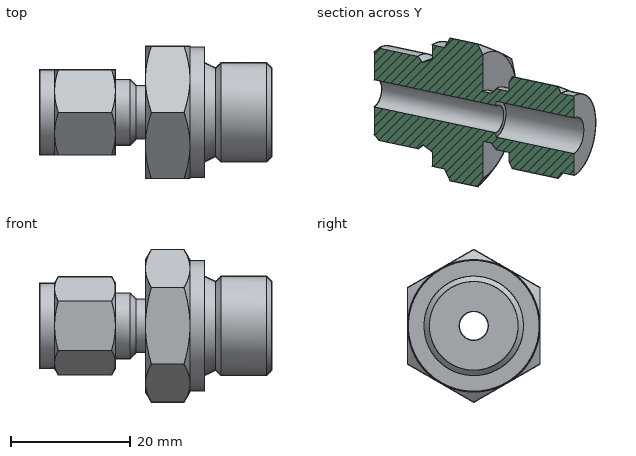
import cadquery as cq
import math


nut_across_flats = 14.3
nut_nose_length = 2.5
nut_hex_length = 10.2

collar_diameter = 11.05
collar_length = 2.45
neck_diameter = 9.0
neck_cone_length = (collar_diameter - neck_diameter) / 2
neck_length = 1.55

body_across_flats = 22.2
body_hex_length = 7.45
flange_diameter = 21.9
flange_length = 2.45

thread_diameter = 16.66
thread_chamfer = 0.9
relief_cone_length = 1.85
relief_diameter = thread_diameter - 2 * thread_chamfer
overall_length = 38.9

tube_diameter = 6.35
bore_diameter = 4.8

hex_sides = 6
hex_chamfer_angle = 30.0

nut_hex_start = nut_nose_length
nut_hex_end = nut_hex_start + nut_hex_length
collar_end = nut_hex_end + collar_length
neck_start = collar_end + neck_cone_length
body_hex_start = neck_start + neck_length
body_hex_end = body_hex_start + body_hex_length
flange_end = body_hex_end + flange_length
relief_end = flange_end + relief_cone_length
thread_start = relief_end + thread_chamfer
thread_end_chamfer_start = overall_length - thread_chamfer


def revolve_about_x(points):
    """Revolve a closed (x, radius) outline about the X axis."""
    return cq.Workplane("XY").polyline(points).close().revolve(360, (0, 0, 0), (1, 0, 0))


def cylinder(start, end, diameter):
    """Cylinder along X between two stations."""
    return cq.Workplane("YZ").workplane(offset=start).circle(diameter / 2).extrude(end - start)


def chamfered_hexagon(start, end, across_flats):
    """Hexagon along X, flats facing +/-Y, with conical chamfers on both ends."""
    flat_radius = across_flats / 2
    half_side_angle = math.pi / hex_sides
    corner_radius = flat_radius / math.cos(half_side_angle)
    corners = []
    for i in range(hex_sides):
        angle = half_side_angle * (2 * i + 1)
        corners.append((corner_radius * math.cos(angle), corner_radius * math.sin(angle)))
    prism = cq.Workplane("YZ").workplane(offset=start).polyline(corners).close().extrude(end - start)

    half_length = (end - start) / 2
    middle = start + half_length
    cone_radius = flat_radius + half_length / math.tan(math.radians(hex_chamfer_angle))
    double_cone = revolve_about_x(
        [(start, 0), (start, flat_radius), (middle, cone_radius), (end, flat_radius), (end, 0)]
    )
    return prism.intersect(double_cone)


def tube_nut():
    nose = cylinder(0, nut_hex_start, nut_across_flats)
    return nose.union(chamfered_hexagon(nut_hex_start, nut_hex_end, nut_across_flats))


def body_neck():
    return revolve_about_x(
        [
            (nut_hex_end, 0),
            (nut_hex_end, collar_diameter / 2),
            (collar_end, collar_diameter / 2),
            (neck_start, neck_diameter / 2),
            (body_hex_start, neck_diameter / 2),
            (body_hex_start, 0),
        ]
    )


def threaded_end():
    """Sealing flange, conical thread relief and chamfered thread blank."""
    return revolve_about_x(
        [
            (body_hex_end, 0),
            (body_hex_end, flange_diameter / 2),
            (flange_end, flange_diameter / 2),
            (flange_end, thread_diameter / 2),
            (relief_end, relief_diameter / 2),
            (thread_start, thread_diameter / 2),
            (thread_end_chamfer_start, thread_diameter / 2),
            (overall_length, relief_diameter / 2),
            (overall_length, 0),
        ]
    )


def bore():
    """Tube socket down to the end of the collar, then a through bore."""
    socket = cylinder(0, collar_end, tube_diameter)
    return socket.union(cylinder(0, overall_length, bore_diameter))


result = (
    tube_nut()
    .union(body_neck())
    .union(chamfered_hexagon(body_hex_start, body_hex_end, body_across_flats))
    .union(threaded_end())
    .cut(bore())
)